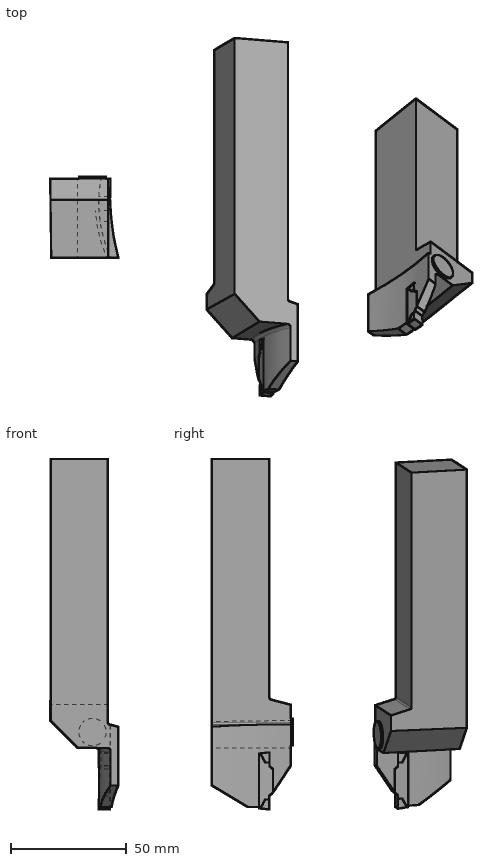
import cadquery as cq

TOTAL_HEIGHT = 151.4
SHANK_SIZE = 25.0
FOOT_DEPTH = 34.2
BLADE_FRONT_X = 29.5
LEFT_FACE_TAPER = 0.5

FOOT_BOTTOM_Z = 26.6
BEVEL_SIZE = 11.8
STEP_ROOT_Z = 37.0
STEP_EDGE_Z = 35.7
FOOT_ROOT_Z = 47.7
FOOT_EDGE_Z = 45.3
ROOT_RADIUS = 0.9

OUTER_MIDDLE = (26.2, 19.7)
OUTER_BACK_X = 26.2
INNER_FRONT_X = 26.2
INNER_MIDDLE = (21.6, 15.1)
INNER_BACK_X = 22.0
BLADE_FILLET = 1.5
BLADE_BOTTOM_Z = 1.0
BLADE_FRONT_Z = 10.5
BLADE_BOTTOM_Y = 15.6
BLADE_BACK_Z = 18.9

INSERT_LENGTH = 24.7
INSERT_SEAT_Y = 20.5
INSERT_TIP_Y = 25.0
INSERT_CREST_Y = 26.5
CREST_END = 7.3
CREST_RAMP = 1.4
TIP_CLEARANCE = 0.5
INSERT_LEFT_X = 21.2
INSERT_WIDTH = 4.5
HEAD_OVERHANG = 0.23
HEAD_LENGTH = 4.4
HEAD_FLAT_Y = 23.2
HEAD_POINT_Y = 21.0

BOSS_DIAMETER = 11.8
BOSS_HEIGHT = 0.9
BOSS_X = 18.3
BOSS_Z = 33.5


def x_prism(points, start_x, length):
    """Extrude a closed (Y, Z) outline along +X."""
    return cq.Workplane("YZ").workplane(offset=start_x).polyline(points).close().extrude(length)


def front_prism():
    """Shank, bevelled foot and blade step, as an (X, Z) outline extruded along Y."""
    outline = [
        (0, TOTAL_HEIGHT),
        (SHANK_SIZE, TOTAL_HEIGHT),
        (SHANK_SIZE, STEP_ROOT_Z),
        (BLADE_FRONT_X, STEP_EDGE_Z),
        (BLADE_FRONT_X, 0),
        (BEVEL_SIZE, 0),
        (BEVEL_SIZE, FOOT_BOTTOM_Z),
        (0, FOOT_BOTTOM_Z + BEVEL_SIZE),
    ]
    prism = cq.Workplane("XZ").polyline(outline).close().extrude(-FOOT_DEPTH)
    root = cq.selectors.NearestToPointSelector((SHANK_SIZE, FOOT_DEPTH / 2, STEP_ROOT_Z))
    return prism.edges(root).fillet(ROOT_RADIUS)


def side_prism():
    """Shank, rear foot and slanted blade ends, as a (Y, Z) outline extruded along X."""
    outline = [
        (0, TOTAL_HEIGHT),
        (SHANK_SIZE, TOTAL_HEIGHT),
        (SHANK_SIZE, FOOT_ROOT_Z),
        (FOOT_DEPTH, FOOT_EDGE_Z),
        (FOOT_DEPTH, BLADE_BACK_Z),
        (INSERT_CREST_Y, CREST_END),
        (INSERT_TIP_Y, CREST_END - CREST_RAMP),
        (INSERT_SEAT_Y, BLADE_BOTTOM_Z),
        (BLADE_BOTTOM_Y, BLADE_BOTTOM_Z),
        (0, BLADE_FRONT_Z),
    ]
    prism = x_prism(outline, 0, BLADE_FRONT_X)
    root = cq.selectors.NearestToPointSelector((BLADE_FRONT_X / 2, SHANK_SIZE, FOOT_ROOT_Z))
    return prism.edges(root).fillet(ROOT_RADIUS)


def plan_prism():
    """Slightly tapered left face and concave outer blade wall, extruded along Z."""
    return (
        cq.Workplane("XY")
        .moveTo(LEFT_FACE_TAPER, 0)
        .lineTo(BLADE_FRONT_X, 0)
        .threePointArc(OUTER_MIDDLE, (OUTER_BACK_X, FOOT_DEPTH))
        .lineTo(0, FOOT_DEPTH)
        .close()
        .extrude(TOTAL_HEIGHT)
    )


def blade_relief():
    """Space under the foot, on the inner side of the curved blade, with a rounded top."""
    space = (
        cq.Workplane("XY")
        .lineTo(INNER_FRONT_X, 0)
        .threePointArc(INNER_MIDDLE, (INNER_BACK_X, FOOT_DEPTH))
        .lineTo(0, FOOT_DEPTH)
        .close()
        .extrude(FOOT_BOTTOM_Z)
    )
    corner = cq.selectors.NearestToPointSelector((*INNER_MIDDLE, FOOT_BOTTOM_Z))
    return space.edges(corner).fillet(BLADE_FILLET)


def insert_outline():
    """(Y, Z) outline of the insert, the same at its two ends."""
    lower_half = [
        (INSERT_SEAT_Y, TIP_CLEARANCE),
        (INSERT_TIP_Y, 0),
        (INSERT_TIP_Y, CREST_END - CREST_RAMP),
        (INSERT_CREST_Y, CREST_END),
    ]
    upper_half = [(y, INSERT_LENGTH - z) for y, z in reversed(lower_half)]
    return lower_half + upper_half


def make_holder():
    holder = front_prism().intersect(side_prism()).intersect(plan_prism())
    holder = holder.cut(blade_relief())
    holder = holder.cut(x_prism(insert_outline(), 0, BLADE_FRONT_X))
    boss = (
        cq.Workplane("XZ", origin=(BOSS_X, FOOT_DEPTH, BOSS_Z))
        .circle(BOSS_DIAMETER / 2)
        .extrude(-BOSS_HEIGHT)
    )
    return holder.union(boss)


def make_insert():
    """Bar with a slightly wider cutting head at each end."""
    insert = x_prism(insert_outline(), INSERT_LEFT_X, INSERT_WIDTH)
    lower_head = [
        (INSERT_TIP_Y, 0),
        (INSERT_TIP_Y, HEAD_LENGTH),
        (HEAD_FLAT_Y, HEAD_LENGTH),
        (HEAD_POINT_Y, TIP_CLEARANCE),
    ]
    upper_head = [(y, INSERT_LENGTH - z) for y, z in lower_head]
    for head in (lower_head, upper_head):
        wide_head = x_prism(head, INSERT_LEFT_X - HEAD_OVERHANG, INSERT_WIDTH + 2 * HEAD_OVERHANG)
        insert = insert.union(wide_head.intersect(x_prism(insert_outline(), 0, BLADE_FRONT_X)))
    return insert


holder = make_holder()
insert = make_insert()
result = cq.Compound.makeCompound([holder.solids().val(), insert.solids().val()])